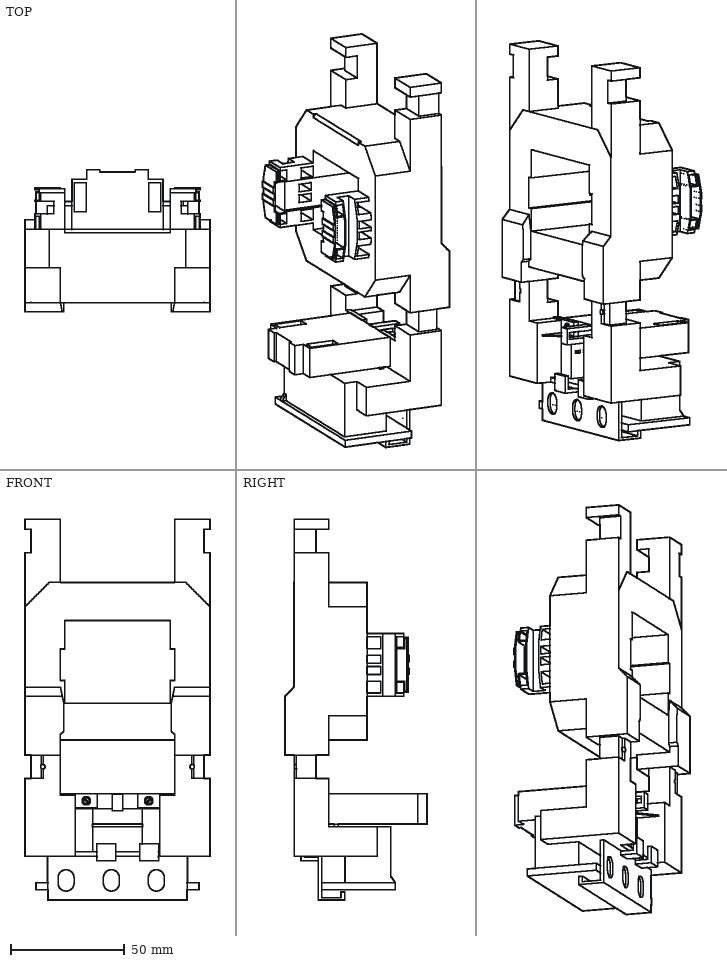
import cadquery as cq


HALF_WIDTH = 41.0
POST_INNER_X = 25.3
POST_DEPTH = 15.3
NOTCH_SIDE = 2.7
NOTCH_BACK_Y = 9.8
NOTCH_HEIGHT = 10.3

TOTAL_HEIGHT = 168.6
HOOK_HEIGHT = 4.5
CARRIER_BOTTOM = 64.2
BLOCK_BOTTOM = 70.8
BLOCK_TOP = 140.6
BLOCK_BACK_Y = 32.4
BLOCK_STEP = 0.08
BLOCK_CHAMFER = 10.8
WINDOW_HALF = 23.3
WINDOW_BOTTOM = 87.2
WINDOW_TOP = 123.8
WINDOW_NOTCH_BOTTOM = 97.3
WINDOW_NOTCH_TOP = 111.1
BACK_BEVEL = 1.5

GUARD_PROUD = 4.0
GUARD_INNER_X = 23.8
GUARD_TOP = 94.5
GUARD_BEVEL_BOTTOM = 90.2
GUARD_WIDE_BOTTOM = 74.7
GUARD_STEP_Z = 73.3

CONTACT_INNER_X = 23.3
CONTACT_WALL_X = 28.2
CONTACT_END_X = 34.0
CONTACT_OUTER_X = 36.6
CONTACT_FLAT_HALF = 5.7
CONTACT_BOTTOM = 90.2
CONTACT_TOP = 118.0
CONTACT_MIDDLE = (CONTACT_BOTTOM + CONTACT_TOP) / 2
SLOT_FRONT_Y = 39.3
SLOT_BACK_Y = 44.8
CONTACT_WEB = 1.0
CONTACT_BACK_WALL = 0.5
FLANGE_BACK_Y = 48.5
FIN = 1.5
MIDDLE_FIN = 3.0
CLIP_SHEET = 0.5
CLIP_FRONT_Y = 48.5
CLIP_BACK_Y = 50.4
CLIP_HALF_HEIGHT = 12.1
CLIP_THROAT_HALF = 7.2
CLIP_RIB_OFFSET = 2.9
CLIP_RIB_HEIGHT = 2.7
CLIP_RIB = 0.5

BASE_BOTTOM = 19.4
BASE_TOP = 32.5
BASE_BACK_Y = 36.8
NOTCH_BOTTOM = CARRIER_BOTTOM - NOTCH_HEIGHT
LEDGE_TOP = 46.5
BAY_HALF = 18.7
BAY_BACK_Y = 19.5
BAY_FLOOR_Z = 21.4
BAY_FLOOR_FRONT_Y = 7.0
NECK_RECESS_X = 33.7
NECK_RECESS = 1.0
NECK_SLOPE_X = 32.9
DIMPLE_X = 33.0
DIMPLE_RADIUS = 1.0
DIMPLE_DEPTH = 1.5

COLUMN_INNER_X = 11.0
COLUMN_FRONT_Y = 12.8
HEAD_BOTTOM = 33.7
HEAD_TOP = 47.2
HEAD_HALF = 20.2
HEAD_SHOULDER_Y = 54.6
HEAD_BACK_Y = 58.8
HEAD_NOSE_HALF = 13.7
HEAD_NOTCH_HALF = 7.8
HEAD_NOTCH = 1.0
HEAD_LIP_Z = 40.5
POCKET_INNER_X = 13.8
POCKET_OUTER_X = 19.0
POCKET_FRONT_Y = 40.3
POCKET_BACK_Y = 53.1
POCKET_DEPTH = 6.7
STRUT_FRONT_Y = 17.7

SCREW_X = 13.8
SCREW_Z = 44.0
SCREW_RADIUS = 1.3
SCREW_PROUD = 0.7
WASHER_RADIUS = 1.9
WASHER = 0.3
SCREW_SLOT = 0.5
SCREW_PAD_INNER_X = 9.0
PAD_TOP = 47.0
GUSSET_FRONT_Y = 2.7
GUSSET = 0.5

ARM_HALF = 2.4
ARM_FRONT_Y = 2.0
ARM_END = 1.3
ARM_BOTTOM = 39.6
ARM_LOWER_FLANGE = 2.4
ARM_UPPER_FLANGE = 1.9
ARM_TOP = 46.9

BOX_HALF = 31.2
BOX_FRONT_Y = 22.5
BOX_BACK_Y = 42.8
PLATE_HALF = 36.0
PLATE_BOTTOM = 4.5
PLATE_TOP = 7.8
PLATE_BACK_Y = 44.8
WEDGE_INNER_X = 29.0
WEDGE_HEIGHT = 2.9

BRACKET_HALF = 30.9
BRACKET_FRONT_Y = 10.6
BRACKET_SHEET = 1.7
BRACKET_FLANGE = 1.2
BRACKET_LIP_TOP = 3.7
HOLE_CENTERS_X = (-22.8, -2.7, 17.2)
HOLE_Z = 8.8
HOLE_WIDTH = 7.0
HOLE_HEIGHT = 9.5
HOLE_DEPTH = 1.2
TAB_STARTS_X = (-9.1, 9.8)
TAB_WIDTH = 8.5
TAB_FRONT_Y = 3.0
TAB_BOTTOM = 17.4
TAB_TOP = 25.0


def block(x_range, y_range, z_range):
    """Axis-aligned box between pairs of coordinates."""
    size = [end - start for start, end in (x_range, y_range, z_range)]
    corner = (x_range[0], y_range[0], z_range[0])
    return cq.Workplane("XY").box(*size, centered=False).translate(corner)


def centered_block(half_width, y_range, z_range):
    """Box symmetric about X = 0."""
    return block((-half_width, half_width), y_range, z_range)


def front_prism(points, y_range):
    """X-Z outline extruded along Y."""
    depth = y_range[1] - y_range[0]
    return cq.Workplane("XZ").workplane(offset=-y_range[1]).polyline(points).close().extrude(depth)


def side_prism(points, x_range):
    """Y-Z outline extruded along X."""
    width = x_range[1] - x_range[0]
    return cq.Workplane("YZ").workplane(offset=x_range[0]).polyline(points).close().extrude(width)


def both_sides(right_half):
    """A feature on +X together with its mirror image on -X."""
    return right_half.union(right_half.mirror("YZ"))


def neck_cut(bottom):
    """Material outside the reduced neck of the +X post, to be removed."""
    z_range = (bottom, bottom + NOTCH_HEIGHT)
    side = block((HALF_WIDTH - NOTCH_SIDE, HALF_WIDTH), (0, POST_DEPTH), z_range)
    back = block((POST_INNER_X, HALF_WIDTH), (NOTCH_BACK_Y, POST_DEPTH), z_range)
    return side.union(back)


def carrier_posts():
    post = block((POST_INNER_X, HALF_WIDTH), (0, POST_DEPTH), (CARRIER_BOTTOM, TOTAL_HEIGHT))
    return both_sides(post.cut(neck_cut(TOTAL_HEIGHT - HOOK_HEIGHT - NOTCH_HEIGHT)))


def coil_block():
    body = centered_block(HALF_WIDTH, (-BLOCK_STEP, BLOCK_BACK_Y), (BLOCK_BOTTOM, BLOCK_TOP))
    body = body.edges("|Y").chamfer(BLOCK_CHAMFER)
    bevel = side_prism(
        [
            (BLOCK_BACK_Y, BLOCK_TOP),
            (BLOCK_BACK_Y - BACK_BEVEL, BLOCK_TOP),
            (BLOCK_BACK_Y, BLOCK_TOP - BACK_BEVEL),
        ],
        (-WINDOW_HALF, WINDOW_HALF),
    )
    return body.cut(bevel)


def coil_window():
    y_range = (-GUARD_PROUD, CLIP_BACK_Y + CLIP_RIB)
    opening = centered_block(WINDOW_HALF, y_range, (WINDOW_BOTTOM, WINDOW_TOP))
    notches = centered_block(POST_INNER_X, y_range, (WINDOW_NOTCH_BOTTOM, WINDOW_NOTCH_TOP))
    return opening.union(notches)


def guards():
    """Bevelled pads in front of the posts, over the joint with the base."""
    outline = front_prism(
        [
            (HALF_WIDTH, CARRIER_BOTTOM),
            (HALF_WIDTH, GUARD_TOP),
            (POST_INNER_X, GUARD_TOP),
            (GUARD_INNER_X, WINDOW_BOTTOM),
            (GUARD_INNER_X, GUARD_WIDE_BOTTOM),
            (POST_INNER_X, GUARD_STEP_Z),
            (POST_INNER_X, CARRIER_BOTTOM),
        ],
        (-GUARD_PROUD, 0),
    )
    bevel = side_prism(
        [
            (-GUARD_PROUD, GUARD_TOP),
            (0, GUARD_TOP),
            (-GUARD_PROUD, GUARD_BEVEL_BOTTOM),
        ],
        (GUARD_INNER_X, HALF_WIDTH),
    )
    return both_sides(outline.cut(bevel))


def contact_outline():
    """Envelope of the +X contact carrier, its outer face tapering towards both ends."""
    return front_prism(
        [
            (CONTACT_INNER_X, CONTACT_BOTTOM),
            (CONTACT_END_X, CONTACT_BOTTOM),
            (CONTACT_OUTER_X, CONTACT_MIDDLE - CONTACT_FLAT_HALF),
            (CONTACT_OUTER_X, CONTACT_MIDDLE + CONTACT_FLAT_HALF),
            (CONTACT_END_X, CONTACT_TOP),
            (CONTACT_INNER_X, CONTACT_TOP),
        ],
        (BLOCK_BACK_Y, CLIP_BACK_Y + CLIP_RIB),
    )


def contact_carriers():
    """Ribbed holders on the back of the block, slotted on their outer sides."""
    z_range = (CONTACT_BOTTOM, CONTACT_TOP)
    full_x = (CONTACT_INNER_X, CONTACT_OUTER_X)

    holder = block(full_x, (SLOT_FRONT_Y - CONTACT_WEB, SLOT_FRONT_Y), z_range)
    holder = holder.union(block((CONTACT_INNER_X, CONTACT_WALL_X), (SLOT_FRONT_Y, SLOT_BACK_Y), z_range))
    holder = holder.union(block(full_x, (SLOT_BACK_Y, SLOT_BACK_Y + CONTACT_BACK_WALL), z_range))

    inner_fins = (CONTACT_MIDDLE - CONTACT_FLAT_HALF, CONTACT_MIDDLE + CONTACT_FLAT_HALF)
    fins = [(CONTACT_BOTTOM, FIN), (CONTACT_TOP - FIN, FIN), (CONTACT_MIDDLE - FIN / 2, FIN)]
    fins += [(center - MIDDLE_FIN / 2, MIDDLE_FIN) for center in inner_fins]
    for bottom, thickness in fins:
        holder = holder.union(block(full_x, (BLOCK_BACK_Y, SLOT_FRONT_Y), (bottom, bottom + thickness)))

    for bottom in (CONTACT_BOTTOM, CONTACT_TOP - FIN):
        holder = holder.union(block(full_x, (SLOT_BACK_Y, FLANGE_BACK_Y), (bottom, bottom + FIN)))
    return both_sides(holder.intersect(contact_outline()))


def spring_clips():
    """C-shaped sheet clips behind the contact carriers."""
    clip_x = (CONTACT_INNER_X, CONTACT_OUTER_X)
    bottom = CONTACT_MIDDLE - CLIP_HALF_HEIGHT
    top = CONTACT_MIDDLE + CLIP_HALF_HEIGHT
    clip = block(clip_x, (CLIP_FRONT_Y, CLIP_BACK_Y), (bottom, top))
    hollow_y = (CLIP_FRONT_Y + CLIP_SHEET, CLIP_BACK_Y - CLIP_SHEET)
    clip = clip.cut(block(clip_x, hollow_y, (bottom + CLIP_SHEET, top - CLIP_SHEET)))
    throat_z = (CONTACT_MIDDLE - CLIP_THROAT_HALF, CONTACT_MIDDLE + CLIP_THROAT_HALF)
    clip = clip.cut(block(clip_x, (CLIP_FRONT_Y, hollow_y[0]), throat_z))
    for z in (throat_z[0] - CLIP_SHEET, throat_z[1]):
        clip = clip.union(block(clip_x, (SLOT_BACK_Y, hollow_y[0]), (z, z + CLIP_SHEET)))
    for center in (CONTACT_MIDDLE - CLIP_RIB_OFFSET, CONTACT_MIDDLE + CLIP_RIB_OFFSET):
        rib_z = (center - CLIP_RIB_HEIGHT / 2, center + CLIP_RIB_HEIGHT / 2)
        clip = clip.union(block(clip_x, (CLIP_BACK_Y, CLIP_BACK_Y + CLIP_RIB), rib_z))
    return both_sides(clip.intersect(contact_outline()))


def make_coil_carrier():
    body = carrier_posts().union(coil_block()).union(guards())
    body = body.union(contact_carriers()).union(spring_clips())
    return body.cut(coil_window())


def base_posts():
    post = block((POST_INNER_X, HALF_WIDTH), (0, POST_DEPTH), (BASE_BOTTOM, CARRIER_BOTTOM))
    post = post.cut(neck_cut(NOTCH_BOTTOM))
    recess = (
        cq.Workplane("XY")
        .workplane(offset=NOTCH_BOTTOM)
        .polyline([
            (NECK_SLOPE_X, 0),
            (HALF_WIDTH, 0),
            (HALF_WIDTH, NECK_RECESS),
            (NECK_RECESS_X, NECK_RECESS),
        ])
        .close()
        .extrude(NOTCH_HEIGHT)
    )
    dimple = (
        cq.Workplane("XZ")
        .center(DIMPLE_X, (NOTCH_BOTTOM + CARRIER_BOTTOM) / 2)
        .circle(DIMPLE_RADIUS)
        .extrude(-DIMPLE_DEPTH)
    )
    post = post.cut(recess).cut(dimple)
    ledge = block((BAY_HALF, POST_INNER_X), (0, POST_DEPTH), (BASE_BOTTOM, LEDGE_TOP))
    return both_sides(post.union(ledge))


def base_body():
    body = centered_block(HALF_WIDTH, (POST_DEPTH, BASE_BACK_Y), (BASE_BOTTOM, BASE_TOP))
    box = centered_block(BOX_HALF, (BOX_FRONT_Y, BOX_BACK_Y), (PLATE_TOP, BASE_TOP))
    bay = centered_block(COLUMN_INNER_X, (POST_DEPTH, BAY_BACK_Y), (BAY_FLOOR_Z, BASE_TOP))
    floor = centered_block(BAY_HALF, (BAY_FLOOR_FRONT_Y, POST_DEPTH), (BASE_BOTTOM, BAY_FLOOR_Z))
    return body.union(box).cut(bay).union(floor)


def columns():
    """Supports on both sides of the bay that carry the terminal head."""
    x_range = (COLUMN_INNER_X, BAY_HALF)
    column = block(x_range, (COLUMN_FRONT_Y, POST_DEPTH), (BASE_BOTTOM, HEAD_LIP_Z))
    strut = block(x_range, (STRUT_FRONT_Y, BAY_BACK_Y), (BASE_TOP, HEAD_BOTTOM))
    return both_sides(column.union(strut))


def terminal_head():
    z_range = (HEAD_BOTTOM, HEAD_TOP)
    head = centered_block(HEAD_HALF, (POST_DEPTH, HEAD_SHOULDER_Y), z_range)
    head = head.union(centered_block(HEAD_NOSE_HALF, (HEAD_SHOULDER_Y, HEAD_BACK_Y), z_range))
    head = head.cut(centered_block(COLUMN_INNER_X, (POST_DEPTH, BAY_BACK_Y), (HEAD_BOTTOM, HEAD_LIP_Z)))
    head = head.cut(centered_block(HEAD_NOTCH_HALF, (HEAD_BACK_Y - HEAD_NOTCH, HEAD_BACK_Y), z_range))
    pocket = block(
        (POCKET_INNER_X, POCKET_OUTER_X),
        (POCKET_FRONT_Y, POCKET_BACK_Y),
        (HEAD_TOP - POCKET_DEPTH, HEAD_TOP),
    )
    return head.cut(both_sides(pocket))


def screw_terminals():
    """Clamp pads with slotted screws, each above a gusset and with a strip across the ledge."""
    pad = block(
        (SCREW_PAD_INNER_X, BAY_HALF),
        (COLUMN_FRONT_Y, POST_DEPTH),
        (HEAD_LIP_Z, PAD_TOP),
    )
    strip = block((BAY_HALF, POST_INNER_X), (COLUMN_FRONT_Y, POST_DEPTH), (LEDGE_TOP, PAD_TOP))
    gusset = (
        cq.Workplane("XY")
        .workplane(offset=HEAD_LIP_Z)
        .polyline([
            (SCREW_PAD_INNER_X, COLUMN_FRONT_Y),
            (BAY_HALF, COLUMN_FRONT_Y),
            (BAY_HALF, GUSSET_FRONT_Y),
        ])
        .close()
        .extrude(GUSSET)
    )
    pad_face = cq.Workplane("XZ").workplane(offset=-COLUMN_FRONT_Y).center(SCREW_X, SCREW_Z)
    washer = pad_face.circle(WASHER_RADIUS).extrude(WASHER)
    screw = pad_face.circle(SCREW_RADIUS).extrude(SCREW_PROUD)
    slot = (
        pad_face.workplane(offset=WASHER)
        .transformed(rotate=(0, 0, 45))
        .rect(2 * SCREW_RADIUS, SCREW_SLOT)
        .extrude(SCREW_PROUD - WASHER)
    )
    screw = screw.cut(slot)
    return both_sides(pad.union(strip).union(gusset).union(washer).union(screw))


def center_arm():
    """Arm with a cross window, reaching forward from the terminal head."""
    arm = centered_block(ARM_HALF, (ARM_FRONT_Y, POST_DEPTH), (ARM_BOTTOM, ARM_TOP))
    window_z = (ARM_BOTTOM + ARM_LOWER_FLANGE, ARM_TOP - ARM_UPPER_FLANGE)
    return arm.cut(centered_block(ARM_HALF, (ARM_FRONT_Y + ARM_END, POST_DEPTH), window_z))


def foot_plate():
    back_of_sheet = BRACKET_FRONT_Y + BRACKET_SHEET
    plate = centered_block(PLATE_HALF, (back_of_sheet, PLATE_BACK_Y), (PLATE_BOTTOM, PLATE_TOP))
    wedge = side_prism(
        [
            (BOX_BACK_Y, PLATE_TOP),
            (PLATE_BACK_Y, PLATE_TOP),
            (BOX_BACK_Y, PLATE_TOP + WEDGE_HEIGHT),
        ],
        (WEDGE_INNER_X, BOX_HALF),
    )
    return plate.union(wedge)


def bracket():
    """Bent sheet with blind oblong recesses, a bottom channel and two upright tabs."""
    back_y = BRACKET_FRONT_Y + BRACKET_SHEET
    sheet = centered_block(BRACKET_HALF, (BRACKET_FRONT_Y, back_y), (0, BASE_BOTTOM))
    sheet = sheet.union(centered_block(BRACKET_HALF, (BRACKET_FRONT_Y, BOX_FRONT_Y), (0, BRACKET_FLANGE)))
    lip_y = (BOX_FRONT_Y - BRACKET_SHEET, BOX_FRONT_Y)
    sheet = sheet.union(centered_block(BRACKET_HALF, lip_y, (0, BRACKET_LIP_TOP)))

    recesses = (
        cq.Workplane("XZ")
        .workplane(offset=-BRACKET_FRONT_Y)
        .pushPoints([(x, HOLE_Z) for x in HOLE_CENTERS_X])
        .slot2D(HOLE_HEIGHT, HOLE_WIDTH, 90)
        .extrude(-HOLE_DEPTH)
    )
    sheet = sheet.cut(recesses)

    for start in TAB_STARTS_X:
        x_range = (start, start + TAB_WIDTH)
        reach = block(x_range, (TAB_FRONT_Y, back_y), (TAB_BOTTOM, TAB_BOTTOM + BRACKET_SHEET))
        upright = block(x_range, (TAB_FRONT_Y, TAB_FRONT_Y + BRACKET_SHEET), (TAB_BOTTOM, TAB_TOP))
        sheet = sheet.union(reach).union(upright)
    return sheet


def make_terminal_base():
    body = base_posts().union(base_body()).union(columns()).union(terminal_head())
    body = body.union(screw_terminals()).union(center_arm())
    return body.union(foot_plate()).union(bracket())


coil_carrier = make_coil_carrier()
terminal_base = make_terminal_base()

result = cq.Compound.makeCompound([coil_carrier.val(), terminal_base.val()])